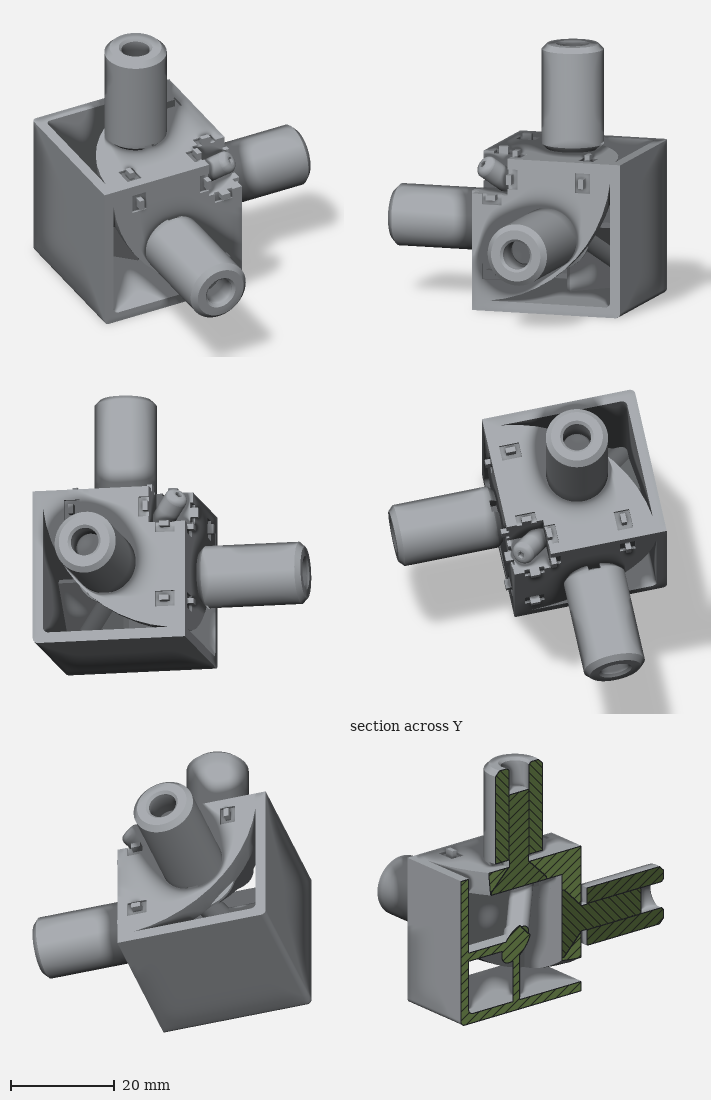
import cadquery as cq
import math

overall = 50.5
cube = 30.0
peg_length = overall - cube

wall = 2.0
plate = 4.8
edge_radius = 1.0
plate_radius = 28.2
notch = 7.15

post_radius = 2.6
rib_thickness = 1.25
rib_end = 15.3

nub_length = 1.85
nub_width = 1.0
nub_height = 1.0
pocket_margin = 1.0
pocket_depth = 0.5
nub_row = 26.0
nub_column = cube - notch - nub_width / 2
nub_spots = (nub_column, cube - nub_column)

peg_radius = 6.0
peg_chamfer = 1.0
peg_offset = 14.5
face_middle = cube / 2
bore_radius = 2.75
bore_chamfer = 0.5
base_slot_width = 2.35
base_slot_height = 1.4

head_radius = 6.9
head_rim = 0.5
screw_tip_depth = 5.55
screw_tip_chamfer = 0.25

set_screw_radius = 2.2
set_screw_tip = 28.4
set_screw_round = 1.15
socket_corners = 1.5
socket_depth = 1.5

top_face = cq.Plane(origin=(0, 0, cube), xDir=(1, 0, 0), normal=(0, 0, 1))
right_face = cq.Plane(origin=(cube, 0, 0), xDir=(0, 1, 0), normal=(1, 0, 0))
back_face = cq.Plane(origin=(0, cube, 0), xDir=(0, 0, 1), normal=(0, 1, 0))
faces = (top_face, right_face, back_face)

peg_places = (
    (top_face, (peg_offset, face_middle), 0),
    (right_face, (peg_offset, face_middle), 90),
    (back_face, (face_middle, peg_offset), 0),
)


def cube_between(low, high):
    """Cube from (low, low, low) to (high, high, high)."""
    edge = high - low
    return cq.Workplane("XY").box(edge, edge, edge, centered=False).translate((low, low, low))


def round_closed_corner(body):
    """Round the three edges that meet in the corner nearest the origin."""
    edges = body.edges("(|X and <Y and <Z) or (|Y and <X and <Z) or (|Z and <X and <Y)")
    return edges.fillet(edge_radius)


def diagonal_plane(position):
    """Plane square to the cube diagonal at X = Y = Z = position."""
    return cq.Plane(origin=(position, position, position), xDir=(1, -1, 0), normal=(1, 1, 1))


def along_diagonal(start, end):
    """Length of the diagonal between two X = Y = Z positions."""
    return (end - start) * math.sqrt(3)


def peg_plates():
    """Three plates around the open corner, cut from an eighth of a ball."""
    ball_eighth = cq.Workplane("XY").sphere(plate_radius, angle1=-90, angle2=0, angle3=90)
    plates = ball_eighth.rotate((0, 0, 0), (0, 0, 1), 180).translate((cube, cube, cube))
    return plates.cut(cube_between(0, cube - plate))


def corner_block():
    """Block behind the notch, leaving one wall thickness around it."""
    return cube_between(cube - notch - wall, cube)


def ribbed_post(space):
    """Post on the diagonal with a rib to each closed wall, limited to the housing's inner space."""
    support = cq.Workplane(diagonal_plane(0)).circle(post_radius).extrude(along_diagonal(0, rib_end))
    rib_height = rib_end * math.sqrt(2)
    rib = (
        cq.Workplane(cq.Plane(origin=(0, 0, 0), xDir=(1, 0, 0), normal=(0, -1, 1)))
        .polyline([(0, 0), (rib_end, rib_height), (0, rib_height)])
        .close()
        .extrude(rib_thickness / 2, both=True)
    )
    for turn in (0, 120, 240):
        support = support.union(rib.rotate((0, 0, 0), (1, 1, 1), turn))
    return support.intersect(space)


def add_nubs(body, face):
    """Cut the four pockets of one face and stand a nub in each."""
    along_v = [(spot, nub_row) for spot in nub_spots]
    along_u = [(nub_row, spot) for spot in nub_spots]
    floor = cq.Workplane(face).workplane(offset=-pocket_depth)
    for spots, size_u, size_v in ((along_v, nub_width, nub_length), (along_u, nub_length, nub_width)):
        pockets = floor.pushPoints(spots).rect(size_u + 2 * pocket_margin, size_v + 2 * pocket_margin)
        body = body.cut(pockets.extrude(pocket_depth))
        nubs = floor.pushPoints(spots).rect(size_u, size_v)
        body = body.union(nubs.extrude(pocket_depth + nub_height))
    return body


def make_peg(face, centre, slot_angle):
    """Chamfered peg with a through bore and a slot across its base."""
    peg = cq.Workplane(face).center(*centre).circle(peg_radius).extrude(peg_length)
    peg = peg.edges().chamfer(peg_chamfer)
    bore = cq.Workplane(face).center(*centre).circle(bore_radius).extrude(peg_length)
    mouth = (
        cq.Workplane(face)
        .workplane(offset=peg_length - bore_chamfer)
        .center(*centre)
        .circle(bore_radius)
        .workplane(offset=bore_chamfer)
        .circle(bore_radius + bore_chamfer)
        .loft(ruled=True)
    )
    slot = (
        cq.Workplane(face)
        .center(*centre)
        .transformed(rotate=(0, 0, slot_angle))
        .rect(2 * peg_radius, base_slot_width)
        .extrude(base_slot_height)
    )
    return peg.cut(bore).cut(mouth).cut(slot)


def make_screw(face, centre):
    """Countersunk screw, its head flush with the inside of the plate."""
    tip = plate + peg_length - screw_tip_depth
    cone_end = head_rim + head_radius - bore_radius
    profile = [
        (0, 0),
        (head_radius, 0),
        (head_radius, head_rim),
        (bore_radius, cone_end),
        (bore_radius, tip - screw_tip_chamfer),
        (bore_radius - screw_tip_chamfer, tip),
        (0, tip),
    ]
    screw = cq.Workplane("XZ").polyline(profile).close().revolve(360, (0, 0, 0), (0, 1, 0))
    inside = cq.Workplane(face).workplane(offset=-plate).center(*centre).plane
    return cq.Workplane(screw.val().moved(cq.Location(inside)))


def make_set_screw():
    """Screw standing on the end of the post, its round tip in the notch."""
    length = along_diagonal(rib_end, set_screw_tip)
    screw = cq.Workplane(diagonal_plane(rib_end)).circle(set_screw_radius).extrude(length)
    tip_edge = cq.selectors.DirectionMinMaxSelector(cq.Vector(1, 1, 1), True)
    screw = screw.edges(tip_edge).fillet(set_screw_round)
    socket = cq.Workplane(diagonal_plane(set_screw_tip)).polygon(6, socket_corners).extrude(-socket_depth)
    return screw.cut(socket)


def make_housing(screws, set_screw):
    """Hollow corner housing, with a matching hole for each screw."""
    space = round_closed_corner(cube_between(wall, cube))
    body = round_closed_corner(cube_between(0, cube)).cut(space)
    body = body.union(peg_plates()).union(corner_block()).union(ribbed_post(space))
    for face in faces:
        body = add_nubs(body, face)
    body = body.cut(cube_between(cube - notch, overall))
    for screw in screws:
        body = body.cut(screw)
    return body.cut(set_screw)


pegs = [make_peg(face, centre, slot_angle) for face, centre, slot_angle in peg_places]
screws = [make_screw(face, centre) for face, centre, _ in peg_places]
set_screw = make_set_screw()
housing = make_housing(screws, set_screw)

result = cq.Compound.makeCompound(
    [housing.val(), *[peg.val() for peg in pegs], *[screw.val() for screw in screws], set_screw.val()]
)